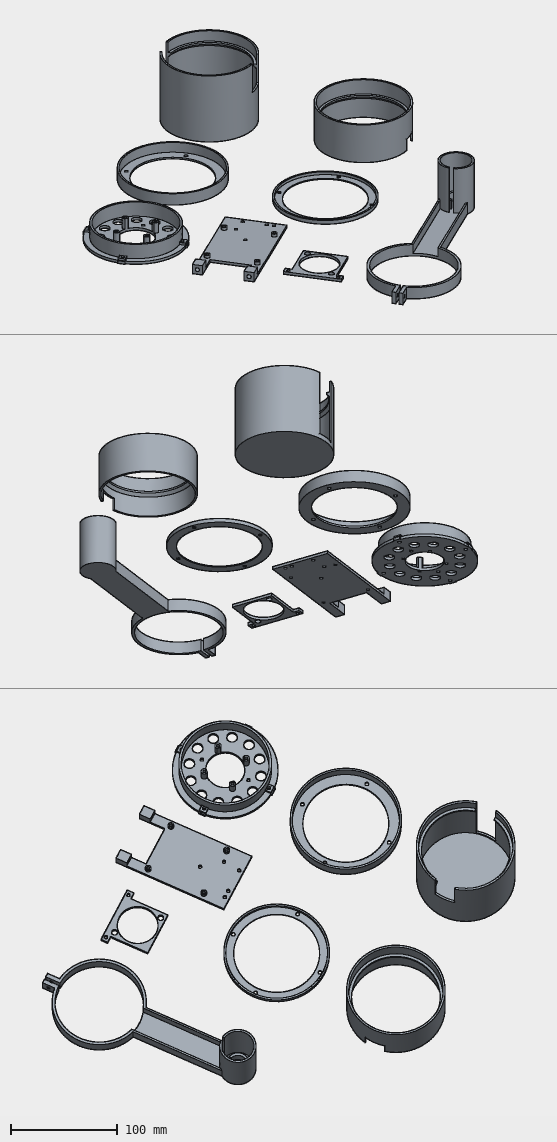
import cadquery as cq
import math

sheet_length = 366.5
sheet_width = 352.5
plate_thickness = 3.0
cut_margin = 3.5
quarter_turns = [0, 90, 180, 270]

can_diameter = 92.5
can_bore = 88.5
can_ledge_bore = 83.0
can_ledge_face = 2.0
can_ledge_taper = 3.0
can_slot_width = 20.0
deep_can_height = 70.0
deep_can_slot_base = 5.0
deep_can_ledge_depth = 11.0
deep_can_back_slot_base = 40.0
shallow_can_height = 40.0
shallow_can_ledge_depth = 15.0
shallow_can_notch_height = 12.0

ring_opening = 80.3
ring_hole_diameter = 3.4
ring_hole_radius = 45.0
cover_diameter = 104.0
cover_inner_diameter = 100.5
cover_height = 12.0
cover_floor = 2.0
flat_ring_diameter = 99.0
flat_ring_recess_diameter = 95.3
flat_ring_height = 4.0
flat_ring_floor = 1.0

base_diameter = 99.0
base_opening = 36.5
base_wall_diameter = 87.0
base_wall_bore = 82.5
base_height = 18.0
vent_diameter = 10.0
vent_count = 12
vent_radius = 34.0
post_diameter = 6.0
post_hole_diameter = 2.8
post_offset = 14.5
post_height = 11.0
cable_hole_diameter = 3.2
cable_hole_offset = 24.2
lug_width = 7.0
lug_height = 5.0
lug_reach = 49.0
tab_reach = 50.4

board_width = 60.0
board_length = 112.0
board_leg_width = 10.0
board_leg_length = 26.5
foot_length = 11.5
foot_hole_diameter = 4.0
standoff_diameter = 5.5
standoff_height = 3.0
standoff_hole_diameter = 2.8
standoff_spacing_x = 48.7
standoff_spacing_y = 58.0
standoff_edge_gap = 23.5
board_hole_diameter = 3.2
board_holes = [(-11.7, 51.5), (11.7, 51.5), (18.7, 51.5), (-13.5, 35.0), (0.7, 17.2)]

fan_width = 43.2
fan_length = 45.5
fan_opening = 38.0
fan_opening_from_base = 24.5
fan_screw_diameter = 5.5
fan_screw_offset = 16.0
ear_span = 56.5
ear_length = 7.0
ear_hole_diameter = 3.2
ear_hole_offset = 24.2
ear_hole_from_base = 3.3

clamp_diameter = 88.5
clamp_bore = 83.0
arm_height = 12.0
arm_width = 28.0
arm_wall = 2.0
arm_length = 144.0
tube_diameter = 34.0
tube_bore = 30.0
tube_height = 50.0
tube_slit_width = 4.0
clamp_gap = 2.75
clamp_tab_thickness = 4.0
clamp_tab_hole_diameter = 3.2

collar_diameter = 20.5
collar_bore = 15.5
collar_height = 9.0

left_column_x = (cover_diameter - sheet_length) / 2
shallow_can_x = 18.7
flat_ring_x = 17.2
board_x = -32.0
fan_x = 48.5
arm_x = (sheet_length - clamp_diameter) / 2
can_row_y = (sheet_width - can_diameter) / 2
ring_row_y = 5.5
base_row_y = -120.0
board_y = -114.7
fan_base_y = -148.5


def disc(diameter, height, x=0.0, y=0.0, z=0.0):
    """Upright cylinder standing at height z."""
    return cq.Workplane("XY", origin=(x, y, z)).circle(diameter / 2).extrude(height)


def block(x_range, y_range, z_range):
    """Box given by its limits along each axis."""
    lows = [limits[0] for limits in (x_range, y_range, z_range)]
    sizes = [limits[1] - limits[0] for limits in (x_range, y_range, z_range)]
    return cq.Workplane("XY").box(*sizes, centered=False).translate(tuple(lows))


def drill(body, diameter, points):
    """Cut vertical through holes at the given points."""
    depth = deep_can_height + 2 * cut_margin
    for x, y in points:
        body = body.cut(disc(diameter, depth, x, y, -cut_margin))
    return body


def polar_points(radius, angles):
    return [
        (radius * math.cos(math.radians(angle)), radius * math.sin(math.radians(angle)))
        for angle in angles
    ]


def can_slot(side, z_low, z_high):
    """Cutter for one wall of a can, on the -X (side = -1) or +X (side = 1)."""
    x_range = sorted([0, side * can_diameter])
    return block(x_range, (-can_slot_width / 2, can_slot_width / 2), (z_low, z_high))


def can_ledge(top):
    """Ring inside a can wall with a flat top at height top and a tapered underside."""
    face_low = top - can_ledge_face
    profile = [
        (can_diameter / 2, top),
        (can_ledge_bore / 2, top),
        (can_ledge_bore / 2, face_low),
        (can_bore / 2, face_low - can_ledge_taper),
        (can_diameter / 2, face_low - can_ledge_taper),
    ]
    return cq.Workplane("XZ").polyline(profile).close().revolve(360, (0, 0), (0, 1))


def make_deep_can():
    can = disc(can_diameter, deep_can_height)
    can = can.cut(disc(can_bore, deep_can_height, z=plate_thickness))
    can = can.union(can_ledge(deep_can_height - deep_can_ledge_depth))
    above_rim = deep_can_height + cut_margin
    can = can.cut(can_slot(-1, deep_can_slot_base, above_rim))
    return can.cut(can_slot(1, deep_can_back_slot_base, above_rim))


def make_shallow_can():
    can = drill(disc(can_diameter, shallow_can_height), can_bore, [(0, 0)])
    can = can.union(can_ledge(shallow_can_height - shallow_can_ledge_depth))
    return can.cut(can_slot(1, -cut_margin, shallow_can_notch_height))


def make_recessed_ring(diameter, recess_diameter, height, floor):
    """Flat ring with a raised rim and four screw holes in its floor."""
    ring = disc(diameter, height).cut(disc(recess_diameter, height, z=floor))
    ring = drill(ring, ring_opening, [(0, 0)])
    return drill(ring, ring_hole_diameter, polar_points(ring_hole_radius, quarter_turns))


def make_base():
    wall = disc(base_wall_diameter, base_height).cut(disc(base_wall_bore, base_height))
    base = disc(base_diameter, plate_thickness).union(wall)
    wall_middle = (base_wall_diameter + base_wall_bore) / 4
    half_lug = lug_width / 2
    for angle in quarter_turns:
        tab = block((wall_middle, tab_reach), (-half_lug, half_lug), (0, plate_thickness))
        lug = block((wall_middle, lug_reach), (-half_lug, half_lug), (0, lug_height))
        base = base.union(tab.union(lug).rotate((0, 0, 0), (0, 0, 1), angle))
    post_points = [(x, y) for x in (-post_offset, post_offset) for y in (-post_offset, post_offset)]
    for x, y in post_points:
        base = base.union(disc(post_diameter, plate_thickness + post_height, x, y))
    vent_step = 360 / vent_count
    vent_angles = [(i + 0.5) * vent_step for i in range(vent_count)]
    base = drill(base, base_opening, [(0, 0)])
    base = drill(base, vent_diameter, polar_points(vent_radius, vent_angles))
    base = drill(base, ring_hole_diameter, polar_points(ring_hole_radius, quarter_turns))
    base = drill(base, post_hole_diameter, post_points)
    return drill(base, cable_hole_diameter, [(0, -cable_hole_offset), (0, cable_hole_offset)])


def make_board_plate():
    half_width = board_width / 2
    half_length = board_length / 2
    notch_half_width = half_width - board_leg_width
    notch_y = (-half_length - cut_margin, -half_length + board_leg_length)
    plate = block((-half_width, half_width), (-half_length, half_length), (0, plate_thickness))
    plate = plate.cut(block((-notch_half_width, notch_half_width), notch_y, (-cut_margin, plate_thickness)))
    foot_center_x = half_width - board_leg_width / 2
    foot_y = (-half_length, -half_length + foot_length)
    for x in (-foot_center_x, foot_center_x):
        foot = block((x - board_leg_width / 2, x + board_leg_width / 2), foot_y, (0, board_leg_width))
        hole = (
            cq.Workplane("XZ", origin=(x, -half_length, board_leg_width / 2))
            .circle(foot_hole_diameter / 2)
            .extrude(-foot_length)
        )
        plate = plate.union(foot).cut(hole)
    standoff_top_y = half_length - standoff_edge_gap
    standoff_points = [
        (x, y)
        for x in (-standoff_spacing_x / 2, standoff_spacing_x / 2)
        for y in (standoff_top_y, standoff_top_y - standoff_spacing_y)
    ]
    for x, y in standoff_points:
        plate = plate.union(disc(standoff_diameter, plate_thickness + standoff_height, x, y))
    plate = drill(plate, standoff_hole_diameter, standoff_points)
    return drill(plate, board_hole_diameter, board_holes)


def make_fan_bracket():
    """Bracket with the middle of its -Y edge at the origin."""
    bracket = block((-fan_width / 2, fan_width / 2), (0, fan_length), (0, plate_thickness))
    bracket = bracket.union(block((-ear_span / 2, ear_span / 2), (0, ear_length), (0, plate_thickness)))
    bracket = drill(bracket, fan_opening, [(0, fan_opening_from_base)])
    screw_points = [
        (-fan_screw_offset, fan_opening_from_base + fan_screw_offset),
        (fan_screw_offset, fan_opening_from_base - fan_screw_offset),
    ]
    bracket = drill(bracket, fan_screw_diameter, screw_points)
    ear_points = [(x, ear_hole_from_base) for x in (-ear_hole_offset, ear_hole_offset)]
    return drill(bracket, ear_hole_diameter, ear_points)


def make_clamp_arm():
    """Clamp ring centred on the origin, channel arm and slit tube towards +Y."""
    half_width = arm_width / 2
    channel_half_width = half_width - arm_wall
    arm = disc(clamp_diameter, arm_height)
    arm = arm.union(block((-half_width, half_width), (0, arm_length), (0, arm_height)))
    arm = arm.cut(
        block((-channel_half_width, channel_half_width), (0, arm_length), (plate_thickness, arm_height))
    )
    arm = arm.union(disc(tube_diameter, tube_height, y=arm_length))
    arm = arm.cut(disc(tube_bore, tube_height, y=arm_length, z=plate_thickness))
    half_slit = tube_slit_width / 2
    slit_y = (arm_length - tube_diameter, arm_length - collar_bore / 2)
    arm = arm.cut(block((-half_slit, half_slit), slit_y, (plate_thickness, tube_height)))

    tab_end = -sheet_width / 2 - base_row_y
    half_gap = clamp_gap / 2
    half_tabs = half_gap + clamp_tab_thickness
    arm = arm.union(block((-half_tabs, half_tabs), (tab_end, -clamp_bore / 2), (0, arm_height)))
    arm = drill(arm, clamp_bore, [(0, 0)])
    arm = arm.cut(block((-half_gap, half_gap), (tab_end, 0), (0, arm_height)))
    pinch_y = (tab_end - clamp_diameter / 2) / 2
    pinch_hole = (
        cq.Workplane("YZ", origin=(-half_tabs, pinch_y, arm_height / 2))
        .circle(clamp_tab_hole_diameter / 2)
        .extrude(2 * half_tabs)
    )
    return arm.cut(pinch_hole)


def make_collar():
    """C-shaped collar, open on the -Y side in line with the tube's slit."""
    collar = drill(disc(collar_diameter, collar_height), collar_bore, [(0, 0)])
    half_slit = tube_slit_width / 2
    return collar.cut(block((-half_slit, half_slit), (-collar_diameter, 0), (0, collar_height)))


deep_can = make_deep_can().translate((left_column_x, can_row_y, 0))
shallow_can = make_shallow_can().translate((shallow_can_x, can_row_y, 0))
cover_ring = make_recessed_ring(cover_diameter, cover_inner_diameter, cover_height, cover_floor)
cover_ring = cover_ring.translate((left_column_x, ring_row_y, 0))
flat_ring = make_recessed_ring(
    flat_ring_diameter, flat_ring_recess_diameter, flat_ring_height, flat_ring_floor
).translate((flat_ring_x, ring_row_y, 0))
base = make_base().translate((left_column_x, base_row_y, 0))
board_plate = make_board_plate().translate((board_x, board_y, 0))
fan_bracket = make_fan_bracket().translate((fan_x, fan_base_y, 0))
clamp_arm = make_clamp_arm().translate((arm_x, base_row_y, 0))
collar = make_collar().translate((arm_x, base_row_y + arm_length, plate_thickness))

result = cq.Compound.makeCompound(
    [
        deep_can.val(),
        shallow_can.val(),
        cover_ring.val(),
        flat_ring.val(),
        base.val(),
        board_plate.val(),
        fan_bracket.val(),
        clamp_arm.val(),
        collar.val(),
    ]
)